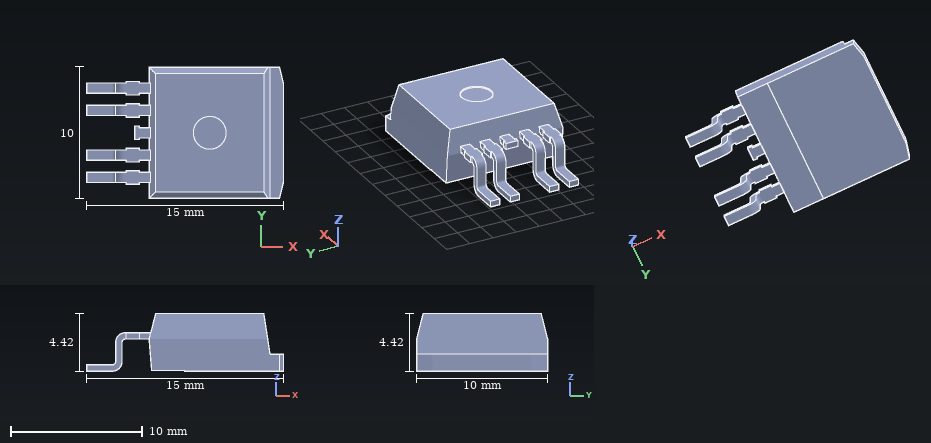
import cadquery as cq

OVERALL_LENGTH = 15.0
PACKAGE_WIDTH = 10.0
PACKAGE_TOP = 4.42

LEAD_TIP_X = -OVERALL_LENGTH / 2
TAB_END_X = OVERALL_LENGTH / 2

BODY_BOTTOM = 0.05
PARTING_Z = 2.45
BODY_FRONT_X = LEAD_TIP_X + 4.75
FRONT_DRAFT_UPPER = 0.5
FRONT_DRAFT_LOWER = 0.19
FRONT_BAND_HEIGHT = 0.05
BODY_BACK_X = TAB_END_X - 1.02
TOP_BACK_X = TAB_END_X - 1.5
TOP_WIDTH = 9.0

MARK_DIAMETER = 2.5
MARK_DEPTH = 0.1

TAB_THICKNESS = 1.3
TAB_FRONT_X = LEAD_TIP_X + 7.45
TAB_TAPER_LENGTH = 0.3
TAB_END_WIDTH = 7.5

LEAD_PITCH = 1.7
LEAD_POSITIONS = (-2, -1, 1, 2)
LEAD_THICKNESS = 0.5
LEAD_WIDTH = 0.8
LEAD_TOP = PARTING_Z + LEAD_THICKNESS
BEND_INNER_RADIUS = 0.25
BEND_OUTER_RADIUS = BEND_INNER_RADIUS + LEAD_THICKNESS
RISER_X = LEAD_TIP_X + 2.2
LEAD_EMBED_X = BODY_FRONT_X + 1.0

SHOULDER_WIDTH = 1.05
SHOULDER_FRONT_X = LEAD_TIP_X + 3.0
SHOULDER_BACK_X = LEAD_TIP_X + 4.02
STUB_FRONT_X = LEAD_TIP_X + 3.65

TOP_FRONT_X = BODY_FRONT_X + FRONT_DRAFT_UPPER
BOTTOM_FRONT_X = BODY_FRONT_X + FRONT_DRAFT_LOWER
BACK_SLOPE = (BODY_BACK_X - TOP_BACK_X) / (PACKAGE_TOP - TAB_THICKNESS)
PARTING_BACK_X = TOP_BACK_X + BACK_SLOPE * (PACKAGE_TOP - PARTING_Z)


def box_between(x_start, x_end, y_center, width, z_bottom, z_top):
    """Box spanning two X stations and two heights, centred on y_center."""
    return (
        cq.Workplane("XY", origin=((x_start + x_end) / 2, y_center, z_bottom))
        .box(x_end - x_start, width, z_top - z_bottom, centered=(True, True, False))
    )


def upper_body():
    """Upper half, tapering from the parting plane to the top face."""
    return (
        cq.Workplane("XY", origin=((BODY_FRONT_X + PARTING_BACK_X) / 2, 0, PARTING_Z))
        .rect(PARTING_BACK_X - BODY_FRONT_X, PACKAGE_WIDTH)
        .workplane(offset=PACKAGE_TOP - PARTING_Z)
        .center((TOP_FRONT_X + TOP_BACK_X - BODY_FRONT_X - PARTING_BACK_X) / 2, 0)
        .rect(TOP_BACK_X - TOP_FRONT_X, TOP_WIDTH)
        .loft(ruled=True)
    )


def lower_body():
    """Lower half, straight-sided; the front face is upright in a thin band, then drawn in below it."""
    profile = [
        (BOTTOM_FRONT_X, BODY_BOTTOM),
        (BODY_BACK_X, BODY_BOTTOM),
        (BODY_BACK_X, TAB_THICKNESS),
        (PARTING_BACK_X, PARTING_Z),
        (BODY_FRONT_X, PARTING_Z),
        (BODY_FRONT_X, PARTING_Z - FRONT_BAND_HEIGHT),
    ]
    return cq.Workplane("XZ").polyline(profile).close().extrude(PACKAGE_WIDTH / 2, both=True)


def mould_mark():
    """Cylinder that cuts the round mark at the centre of the top face."""
    center_x = (TOP_FRONT_X + TOP_BACK_X) / 2
    return (
        cq.Workplane("XY", origin=(center_x, 0, PACKAGE_TOP - MARK_DEPTH))
        .circle(MARK_DIAMETER / 2)
        .extrude(MARK_DEPTH)
    )


def tab():
    """Heat-sink plate under the body, with its exposed end narrowed at both corners."""
    half_width = PACKAGE_WIDTH / 2
    half_end = TAB_END_WIDTH / 2
    taper_x = TAB_END_X - TAB_TAPER_LENGTH
    outline = [
        (TAB_FRONT_X, -half_width),
        (taper_x, -half_width),
        (TAB_END_X, -half_end),
        (TAB_END_X, half_end),
        (taper_x, half_width),
        (TAB_FRONT_X, half_width),
    ]
    return cq.Workplane("XY").polyline(outline).close().extrude(TAB_THICKNESS)


def shoulder(x_start, y_center):
    """Wide dam-bar portion of a lead, from x_start toward the body."""
    return box_between(x_start, SHOULDER_BACK_X, y_center, SHOULDER_WIDTH, PARTING_Z, LEAD_TOP)


def gull_wing_lead(y_center):
    """Lead that leaves the body, bends down and bends out again into a foot."""
    riser_back_x = RISER_X + LEAD_THICKNESS
    inner = BEND_INNER_RADIUS
    outer = BEND_OUTER_RADIUS
    strip = (
        cq.Workplane("XZ", origin=(0, y_center, 0))
        .moveTo(LEAD_TIP_X, 0)
        .lineTo(riser_back_x - outer, 0)
        .radiusArc((riser_back_x, outer), -outer)
        .lineTo(riser_back_x, PARTING_Z - inner)
        .radiusArc((riser_back_x + inner, PARTING_Z), inner)
        .lineTo(LEAD_EMBED_X, PARTING_Z)
        .lineTo(LEAD_EMBED_X, LEAD_TOP)
        .lineTo(RISER_X + outer, LEAD_TOP)
        .radiusArc((RISER_X, LEAD_TOP - outer), -outer)
        .lineTo(RISER_X, LEAD_THICKNESS + inner)
        .radiusArc((RISER_X - inner, LEAD_THICKNESS), inner)
        .lineTo(LEAD_TIP_X, LEAD_THICKNESS)
        .close()
        .extrude(LEAD_WIDTH / 2, both=True)
    )
    return strip.union(shoulder(SHOULDER_FRONT_X, y_center))


def center_stub():
    """Middle lead, cropped off within its shoulder."""
    neck = box_between(STUB_FRONT_X, LEAD_EMBED_X, 0, LEAD_WIDTH, PARTING_Z, LEAD_TOP)
    return neck.union(shoulder(STUB_FRONT_X, 0))


result = upper_body().union(lower_body()).cut(mould_mark()).union(tab()).union(center_stub())
for position in LEAD_POSITIONS:
    result = result.union(gull_wing_lead(position * LEAD_PITCH))